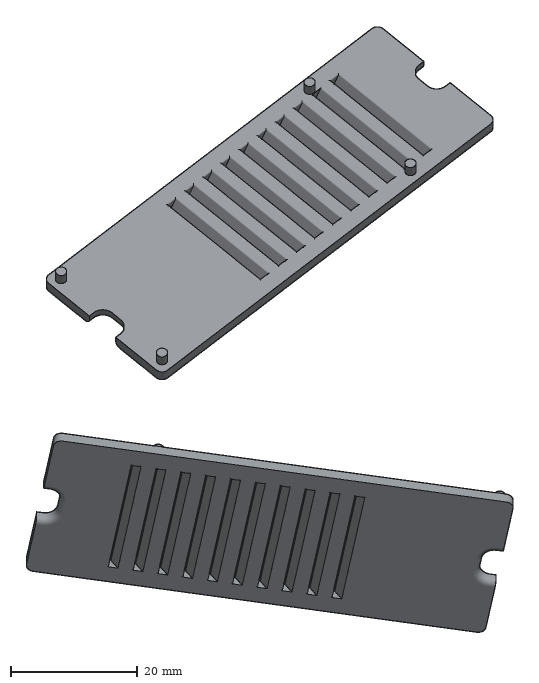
import cadquery as cq
import math

length = 74.0
width = 27.0
thickness = 2.0
corner_radius = 1.25

pin_diameter = 1.8
pin_height = 2.0
pin_x = 11.5
pin_rows_y = (20.0, -35.0)

notch_width = 6.0
notch_depth = 3.0
notch_radius = 2.0
notch_rim_radius = thickness / 2

slot_count = 10
first_slot_y = 24.7
last_slot_y = -11.3
slot_pitch = (first_slot_y - last_slot_y) / (slot_count - 1)
slot_length = 21.0
slot_width = 1.55
slot_slant = 34.0
slot_rim_radius = 0.2
sharp_ended_slot = 1

pick_margin = 0.1


def make_plate():
    blank = cq.Workplane("XY").box(width, length, thickness, centered=(True, True, False))
    return blank.edges("|Z").fillet(corner_radius)


def cut_notch(plate, end):
    """Cut a round-cornered notch into one end and round its lower rim."""
    cutter = (
        cq.Workplane("XY")
        .center(0, end * length / 2)
        .rect(notch_width, 2 * notch_depth)
        .extrude(thickness)
        .edges("|Z")
        .fillet(notch_radius)
    )
    half = notch_width / 2 + pick_margin
    lower_rim = cq.selectors.BoxSelector(
        (-half, end * (length / 2 - pick_margin), -pick_margin),
        (half, end * (length / 2 - notch_depth - pick_margin), pick_margin),
    )
    return plate.cut(cutter).edges(lower_rim).fillet(notch_rim_radius)


def cut_slot(plate, y, round_ends):
    """Cut a slot that leans towards -Y on its way down, and round its upper rim."""
    shift = thickness * math.tan(math.radians(slot_slant))
    half = slot_width / 2
    cutter = (
        cq.Workplane("YZ")
        .polyline([
            (y - half, thickness),
            (y + half, thickness),
            (y + half - shift, 0),
            (y - half - shift, 0),
        ])
        .close()
        .extrude(slot_length / 2, both=True)
    )
    reach_x = pick_margin + (slot_length / 2 if round_ends else 0)
    reach_y = pick_margin + half
    upper_rim = cq.selectors.BoxSelector(
        (-reach_x, y - reach_y, thickness - pick_margin),
        (reach_x, y + reach_y, thickness + pick_margin),
    )
    return plate.cut(cutter).edges(upper_rim).fillet(slot_rim_radius)


def make_pins():
    places = [(side * pin_x, y) for side in (-1, 1) for y in pin_rows_y]
    top_face = cq.Workplane("XY").workplane(offset=thickness)
    return top_face.pushPoints(places).circle(pin_diameter / 2).extrude(pin_height)


result = make_plate()
for end in (-1, 1):
    result = cut_notch(result, end)
for index in range(slot_count):
    slot_y = first_slot_y - index * slot_pitch
    result = cut_slot(result, slot_y, index != sharp_ended_slot)
result = result.union(make_pins())